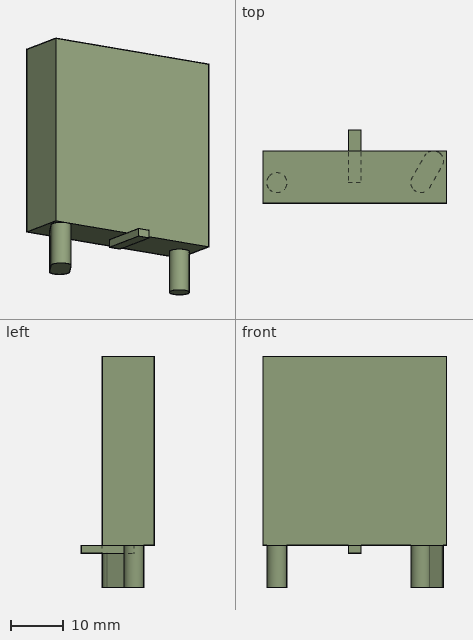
import cadquery as cq
import math

body_width = 35.0
body_depth = 10.0
body_height = 36.0

total_height = 44.0
leg_length = total_height - body_height
leg_diameter = 3.85
leg_row_y = 3.9
round_leg_x = -14.85

slot_leg_x = 12.6
slot_leg_spacing = 4.8
slot_leg_angle = 60.0

total_depth = 14.0
tab_width = 2.4
tab_thickness = 1.5
tab_length = total_depth - leg_row_y


def make_body():
    return cq.Workplane("XY").box(body_width, body_depth, body_height, centered=(True, False, False))


def make_round_leg():
    leg = cq.Workplane("XY").center(round_leg_x, leg_row_y)
    return leg.circle(leg_diameter / 2).extrude(-leg_length)


def make_slot_leg():
    angle = math.radians(slot_leg_angle)
    center_x = slot_leg_x + slot_leg_spacing / 2 * math.cos(angle)
    center_y = leg_row_y + slot_leg_spacing / 2 * math.sin(angle)
    leg = cq.Workplane("XY").center(center_x, center_y)
    return leg.slot2D(slot_leg_spacing + leg_diameter, leg_diameter, slot_leg_angle).extrude(-leg_length)


def make_tab():
    tab = cq.Workplane("XY").box(tab_width, tab_length, tab_thickness, centered=(True, False, False))
    return tab.translate((0, leg_row_y, -tab_thickness))


result = make_body().union(make_round_leg()).union(make_slot_leg()).union(make_tab())